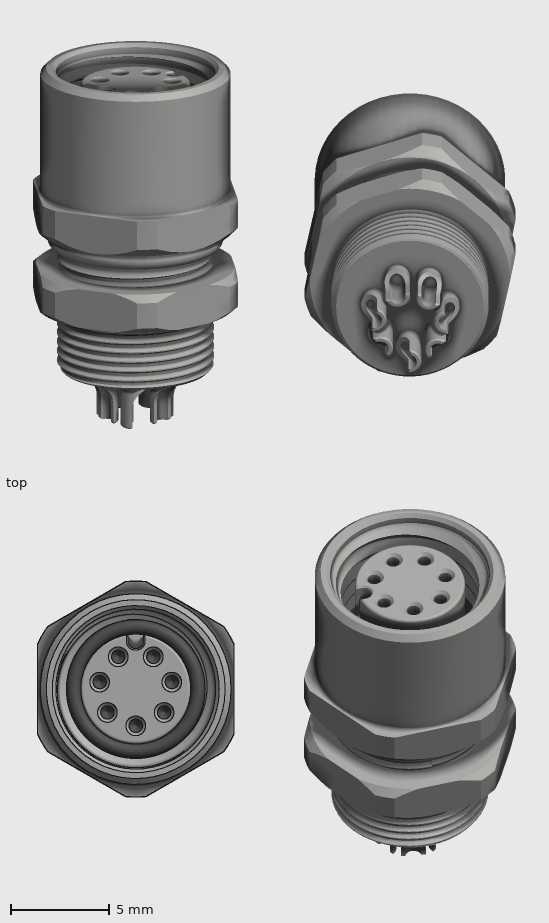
import cadquery as cq
import math


SHELL_TOP = 8.5
SHELL_R = 4.85
RIM_CHAMFER = 0.3
FLANGE_HEIGHT = 2.0
FLANGE_FILLET = 0.14
NECK_R = 3.55
NECK_BOTTOM = -1.15
NECK_FLARE_HEIGHT = 0.36
SHELL_BOTTOM = -7.5

HEX_ACROSS_FLATS = 10.0
HEX_CORNER_R = 5.5
FLANGE_CHAMFER = 0.5
NUT_TOP = -2.0
NUT_HEIGHT = 2.05
NUT_CHAMFER_WIDTH = 0.4
NUT_CHAMFER_HEIGHT = 0.35
NUT_BORE_R = 3.6

SEAL_OUTER_R = 4.5
SEAL_SECTION_R = 0.5
SEAL_SQUEEZE = 0.01

OUTER_PITCH = 0.5
OUTER_CREST_R = 4.0
OUTER_ROOT_R = 3.76
OUTER_ROOT_FLAT = 0.16
OUTER_GROOVE_START = -8.15
OUTER_TURNS = 13.5

INNER_PITCH = 1.0
INNER_CREST_R = 3.53
INNER_ROOT_R = 4.0
INNER_ROOT_FLAT = 0.35
INNER_GROOVE_START = 4.235
INNER_TURNS = 4
RECESS_R = 4.07
RECESS_MOUTH_R = 4.25
RECESS_DEPTH = 0.53
RECESS_FLOOR_DROP = 0.42
SOCKET_DEPTH = 5.5

INSERT_R = 2.8
INSERT_TOP = SHELL_TOP - 0.78
INSERT_FILLET = 0.15
KEY_WIDTH = 0.8
KEY_CENTER_Y = 2.46
KEY_DEPTH = 2.0
KEY_CHAMFER = 0.08

CONTACT_COUNT = 7
CONTACT_PITCH_R = 1.87
CONTACT_STEP = 50.5
CONTACT_HOLE_R = 0.34
CONTACT_MOUTH_R = 0.5
CONTACT_HOLE_DEPTH = 3.0
CUP_R = 0.65
CUP_PITCH_R = 1.89
CUP_OPENING_OFFSET = -0.02
CUP_BORE_R = 0.42
CUP_BOTTOM = -10.0
CUP_OVERLAP = 0.5
CUP_BORE_DEPTH = 2.3
CUP_FLARE_R = 0.95
CUP_FLARE_BOTTOM = -8.9
CUP_END_CHAMFER = 0.08
TURNED_CUP = CONTACT_COUNT // 2 + 1
TURNED_CUP_ANGLE = 90.0

THREAD_FLANK_SLOPE = math.tan(math.radians(30))
CUT_MARGIN = 0.03
MAX_SEGMENT_TURNS = 1.5


def revolved(profile):
    """Turn a profile drawn on XZ about the Z axis."""
    return profile.close().revolve(360, (0, 0, 0), (0, 1, 0))


def thread_segment(pitch, turns, root_r, root_flat, mouth_r):
    """Stretch of a helical 60-degree groove, starting at Z = 0 on the +X axis."""
    half_root = root_flat / 2
    half_mouth = half_root + abs(mouth_r - root_r) * THREAD_FLANK_SLOPE
    corners = [(root_r, -half_root), (mouth_r, -half_mouth), (mouth_r, half_mouth), (root_r, half_root)]
    edges = [
        cq.Wire.makeHelix(pitch, pitch * turns, radius).moved(cq.Location(cq.Vector(0, 0, z)))
        for radius, z in corners
    ]
    faces = []
    for edge, next_edge in zip(edges, edges[1:] + edges[:1]):
        faces.extend(cq.Face.makeRuledSurface(edge, next_edge).Faces())
    for end_points in ([edge.startPoint() for edge in edges], [edge.endPoint() for edge in edges]):
        faces.append(cq.Face.makeFromWires(cq.Wire.makePolygon(end_points, close=True)))
    return cq.Workplane(cq.Solid.makeSolid(cq.Shell.makeShell(faces)))


def cut_thread(body, pitch, turns, start_z, root_r, root_flat, mouth_r):
    """Cut a right-hand thread groove in short segments, starting at start_z on the +X axis."""
    segments = math.ceil(turns / MAX_SEGMENT_TURNS)
    segment_turns = turns / segments
    segment = thread_segment(pitch, segment_turns, root_r, root_flat, mouth_r)
    for index in range(segments):
        turns_before = index * segment_turns
        placed = segment.rotate((0, 0, 0), (0, 0, 1), 360 * turns_before)
        body = body.cut(placed.translate((0, 0, start_z + pitch * turns_before)))
    return body


def hexagon(top, height, turned_profile):
    """Hexagonal prism with flats on +X and -X, trimmed by a turned profile."""
    across_corners = HEX_ACROSS_FLATS / math.cos(math.radians(30))
    prism = (
        cq.Workplane("XY", origin=(0, 0, top - height))
        .transformed(rotate=(0, 0, 30))
        .polygon(6, across_corners)
        .extrude(height)
    )
    return prism.intersect(turned_profile)


def flange():
    outline = (
        cq.Workplane("XZ")
        .lineTo(HEX_CORNER_R - FLANGE_CHAMFER, 0)
        .lineTo(HEX_CORNER_R, FLANGE_CHAMFER)
        .lineTo(HEX_CORNER_R, FLANGE_HEIGHT)
        .lineTo(0, FLANGE_HEIGHT)
    )
    return hexagon(FLANGE_HEIGHT, FLANGE_HEIGHT, revolved(outline))


def nut():
    bottom = NUT_TOP - NUT_HEIGHT
    face_r = HEX_CORNER_R - NUT_CHAMFER_WIDTH
    outline = (
        cq.Workplane("XZ")
        .moveTo(NUT_BORE_R, bottom)
        .lineTo(face_r, bottom)
        .lineTo(HEX_CORNER_R, bottom + NUT_CHAMFER_HEIGHT)
        .lineTo(HEX_CORNER_R, NUT_TOP - NUT_CHAMFER_HEIGHT)
        .lineTo(face_r, NUT_TOP)
        .lineTo(NUT_BORE_R, NUT_TOP)
    )
    return hexagon(NUT_TOP, NUT_HEIGHT, revolved(outline))


def threaded_stem():
    """Neck and threaded stem below the flange."""
    end_chamfer = OUTER_CREST_R - OUTER_ROOT_R
    outline = (
        cq.Workplane("XZ")
        .moveTo(0, SHELL_BOTTOM)
        .lineTo(OUTER_ROOT_R, SHELL_BOTTOM)
        .lineTo(OUTER_CREST_R, SHELL_BOTTOM + end_chamfer)
        .lineTo(OUTER_CREST_R, NECK_BOTTOM - NECK_FLARE_HEIGHT)
        .lineTo(NECK_R, NECK_BOTTOM)
        .lineTo(NECK_R, 0)
        .lineTo(0, 0)
    )
    return cut_thread(
        revolved(outline),
        OUTER_PITCH,
        OUTER_TURNS,
        OUTER_GROOVE_START,
        OUTER_ROOT_R,
        OUTER_ROOT_FLAT,
        OUTER_CREST_R + CUT_MARGIN,
    )


def barrel():
    """Round mating end above the flange, with a fillet where it meets the flange."""
    fillet_bend = FLANGE_FILLET * (1 - math.sqrt(0.5))
    outline = (
        cq.Workplane("XZ")
        .moveTo(0, FLANGE_HEIGHT)
        .lineTo(SHELL_R + FLANGE_FILLET, FLANGE_HEIGHT)
        .threePointArc(
            (SHELL_R + fillet_bend, FLANGE_HEIGHT + fillet_bend), (SHELL_R, FLANGE_HEIGHT + FLANGE_FILLET)
        )
        .lineTo(SHELL_R, SHELL_TOP - RIM_CHAMFER)
        .lineTo(SHELL_R - RIM_CHAMFER, SHELL_TOP)
        .lineTo(0, SHELL_TOP)
    )
    return revolved(outline)


def socket_cavity():
    """Annular socket around the insert, with a half-round face seal on its floor."""
    floor = SHELL_TOP - SOCKET_DEPTH
    mouth_depth = RECESS_MOUTH_R - RECESS_R
    recess_bottom = SHELL_TOP - RECESS_DEPTH
    cone_bottom = recess_bottom - RECESS_FLOOR_DROP
    seal_r = (INNER_CREST_R - INSERT_R) / 2
    fillet_bend = INSERT_FILLET * (1 - math.sqrt(0.5))
    outline = (
        cq.Workplane("XZ")
        .moveTo(0, SHELL_TOP)
        .lineTo(RECESS_MOUTH_R, SHELL_TOP)
        .lineTo(RECESS_R, SHELL_TOP - mouth_depth)
        .lineTo(RECESS_R, recess_bottom)
        .lineTo(INNER_CREST_R, cone_bottom)
        .lineTo(INNER_CREST_R, floor)
        .threePointArc((INSERT_R + seal_r, floor + seal_r), (INSERT_R, floor))
        .lineTo(INSERT_R, INSERT_TOP - INSERT_FILLET)
        .threePointArc(
            (INSERT_R - fillet_bend, INSERT_TOP - fillet_bend), (INSERT_R - INSERT_FILLET, INSERT_TOP)
        )
        .lineTo(0, INSERT_TOP)
    )
    return revolved(outline)


def keyway():
    """Round-ended slot in the +Y side of the insert, chamfered at its mouth."""

    def outline(half_width):
        return (
            cq.Workplane("XY", origin=(0, 0, INSERT_TOP))
            .moveTo(half_width, INNER_CREST_R)
            .lineTo(half_width, KEY_CENTER_Y)
            .threePointArc((0, KEY_CENTER_Y - half_width), (-half_width, KEY_CENTER_Y))
            .lineTo(-half_width, INNER_CREST_R)
            .close()
        )

    slot = outline(KEY_WIDTH / 2).extrude(-KEY_DEPTH)
    return slot.union(outline(KEY_WIDTH / 2 + KEY_CHAMFER).extrude(-KEY_CHAMFER, taper=45))


def contact_angle(index):
    """Direction of a contact about Z: the middle one is on -Y and the others spread to both sides."""
    return -90 + (index - CONTACT_COUNT // 2) * CONTACT_STEP


def contact_hole():
    """Socket hole on the Z axis, with a countersunk mouth and a conical end."""
    mouth_depth = CONTACT_MOUTH_R - CONTACT_HOLE_R
    end = INSERT_TOP - CONTACT_HOLE_DEPTH
    outline = (
        cq.Workplane("XZ")
        .moveTo(0, INSERT_TOP)
        .lineTo(CONTACT_MOUTH_R, INSERT_TOP)
        .lineTo(CONTACT_HOLE_R, INSERT_TOP - mouth_depth)
        .lineTo(CONTACT_HOLE_R, end)
        .lineTo(0, end - CONTACT_HOLE_R)
    )
    return revolved(outline)


def solder_cup():
    """Solder cup on the Z axis, cut open on its +X side with a curved run-out."""
    height = SHELL_BOTTOM + CUP_OVERLAP - CUP_BOTTOM
    opening_end = CUP_OPENING_OFFSET + CUP_FLARE_R
    post = cq.Workplane("XY", origin=(0, 0, CUP_BOTTOM)).circle(CUP_R).extrude(height)
    opening = (
        cq.Workplane("XZ")
        .moveTo(CUP_OPENING_OFFSET, CUP_BOTTOM)
        .lineTo(CUP_OPENING_OFFSET, CUP_FLARE_BOTTOM)
        .radiusArc((opening_end, CUP_FLARE_BOTTOM + CUP_FLARE_R), CUP_FLARE_R)
        .lineTo(opening_end, CUP_BOTTOM)
        .close()
        .extrude(CUP_R, both=True)
    )
    bore = cq.Workplane("XY", origin=(0, 0, CUP_BOTTOM)).circle(CUP_BORE_R).extrude(CUP_BORE_DEPTH)
    return post.cut(opening).faces("<Z").chamfer(CUP_END_CHAMFER).cut(bore)


def at_contact(shape, index, pitch_r):
    """Move a shape from the Z axis to a contact position, its +X side pointing outward."""
    return shape.translate((pitch_r, 0, 0)).rotate((0, 0, 0), (0, 0, 1), contact_angle(index))


def seal_ring():
    center_r = SEAL_OUTER_R - SEAL_SECTION_R
    center_z = SEAL_SQUEEZE - SEAL_SECTION_R
    section = cq.Workplane("XZ").center(center_r, center_z).circle(SEAL_SECTION_R)
    return section.revolve(360, (-center_r, 0, 0), (-center_r, 1, 0))


result = barrel().union(flange()).cut(socket_cavity())
result = cut_thread(
    result,
    INNER_PITCH,
    INNER_TURNS,
    INNER_GROOVE_START,
    INNER_ROOT_R,
    INNER_ROOT_FLAT,
    INNER_CREST_R - CUT_MARGIN,
)
result = result.cut(keyway())
for contact in range(CONTACT_COUNT):
    result = result.cut(at_contact(contact_hole(), contact, CONTACT_PITCH_R))

result = result.union(threaded_stem()).union(nut()).union(seal_ring())
for contact in range(CONTACT_COUNT):
    cup = solder_cup()
    if contact == TURNED_CUP:
        cup = cup.rotate((0, 0, 0), (0, 0, 1), TURNED_CUP_ANGLE)
    result = result.union(at_contact(cup, contact, CUP_PITCH_R))